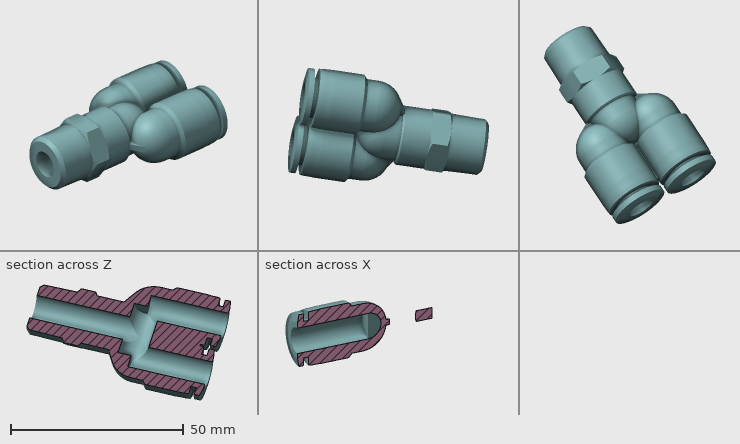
import cadquery as cq
import math

overall_length = 55.25
overall_width = 35.2

bore_radius = 4.0

thread_length = 11.05
thread_tip_radius = 8.2
thread_root_radius = 8.4
thread_chamfer = 1.05

hex_flats = 17.0
hex_height = 5.9
hex_chamfer_angle = 30.0

collar_radius = 8.7
collar_length = 8.0
collar_chamfer = 0.5
stem_radius = 7.6
stem_length = 5.25

leg_radius = 8.8
leg_offset = overall_width / 2 - leg_radius
shank_radius = stem_radius
shank_center_y = 33.85
shank_length = 3.6
shoulder_height = 1.0
sleeve_straight_length = 8.9
sleeve_taper_length = 3.0
sleeve_taper_radius = 8.7
sleeve_lip_length = 1.25
sleeve_lip_radius = 8.55
neck_length = 1.5
neck_radius = 5.9
ring_radius = 8.35
ring_face_radius = 5.75
ring_crown_height = 0.5

web_thickness = 1.95
web_angle = 30.0

hex_end_y = thread_length + hex_height
collar_end_y = hex_end_y + collar_length
stem_center_y = collar_end_y + stem_length
shoulder_y = shank_center_y + shank_length
sleeve_y = shoulder_y + shoulder_height
taper_y = sleeve_y + sleeve_straight_length
lip_y = taper_y + sleeve_taper_length
neck_y = lip_y + sleeve_lip_length
ring_y = neck_y + neck_length
channel_y = (stem_center_y + shank_center_y) / 2
crown_y = overall_length - ring_crown_height


def revolve_about_y(outline):
    """Close an outline in the XY plane and turn it about the Y axis."""
    return outline.close().revolve(360, (0, 0, 0), (0, 1, 0))


def cylinder_along_y(radius, start_y, end_y):
    rod = cq.Workplane("XZ").circle(radius).extrude(start_y - end_y)
    return rod.translate((0, start_y, 0))


def make_thread():
    return revolve_about_y(
        cq.Workplane("XY")
        .lineTo(thread_tip_radius - thread_chamfer, 0)
        .lineTo(thread_tip_radius, thread_chamfer)
        .lineTo(thread_root_radius, thread_length)
        .lineTo(0, thread_length)
    )


def make_hexagon():
    """Hexagonal prism whose corners are cut back by a cone at both ends."""
    flat_radius = hex_flats / 2
    corner_radius = flat_radius / math.cos(math.radians(30))
    corner_drop = (corner_radius - flat_radius) * math.tan(math.radians(hex_chamfer_angle))
    prism = cq.Workplane("XZ").polygon(6, 2 * corner_radius).extrude(-hex_height)
    envelope = revolve_about_y(
        cq.Workplane("XY")
        .lineTo(flat_radius, 0)
        .lineTo(corner_radius, corner_drop)
        .lineTo(corner_radius, hex_height - corner_drop)
        .lineTo(flat_radius, hex_height)
        .lineTo(0, hex_height)
    )
    return prism.intersect(envelope).translate((0, thread_length, 0))


def make_stem():
    """Collar with a chamfered rim, then a narrower rod with a spherical end."""
    diagonal = stem_radius * math.sqrt(0.5)
    return revolve_about_y(
        cq.Workplane("XY")
        .moveTo(0, hex_end_y)
        .lineTo(collar_radius, hex_end_y)
        .lineTo(collar_radius, collar_end_y)
        .lineTo(collar_radius - collar_chamfer, collar_end_y + collar_chamfer)
        .lineTo(stem_radius, collar_end_y + collar_chamfer)
        .lineTo(stem_radius, stem_center_y)
        .threePointArc((diagonal, stem_center_y + diagonal), (0, stem_center_y + stem_radius))
    )


def make_leg():
    """One leg on the Y axis, from its spherical end to the crowned release ring."""
    diagonal = shank_radius * math.sqrt(0.5)
    return revolve_about_y(
        cq.Workplane("XY")
        .moveTo(0, shank_center_y - shank_radius)
        .threePointArc((diagonal, shank_center_y - diagonal), (shank_radius, shank_center_y))
        .lineTo(shank_radius, shoulder_y)
        .lineTo(leg_radius, sleeve_y)
        .lineTo(leg_radius, taper_y)
        .lineTo(sleeve_taper_radius, lip_y)
        .lineTo(sleeve_lip_radius, neck_y)
        .lineTo(neck_radius, neck_y)
        .lineTo(neck_radius, ring_y)
        .lineTo(ring_radius, ring_y)
        .lineTo(ring_radius, crown_y)
        .lineTo(ring_face_radius, overall_length)
        .lineTo(0, overall_length)
    )


def make_web():
    """Plate between the legs; its sloping edges run from the collar tangent to the leg ends."""
    slope = math.radians(web_angle)
    tangent_x = leg_offset + shank_radius * math.sin(slope)
    tangent_y = shank_center_y - shank_radius * math.cos(slope)
    foot_y = tangent_y - (tangent_x - collar_radius) * math.tan(slope)
    outline = [
        (-collar_radius, foot_y),
        (collar_radius, foot_y),
        (tangent_x, tangent_y),
        (leg_offset, lip_y),
        (-leg_offset, lip_y),
        (-tangent_x, tangent_y),
    ]
    return cq.Workplane("XY").polyline(outline).close().extrude(web_thickness / 2, both=True)


def make_passages():
    """Stem bore, cross channel between the legs, and one port bore in each leg."""
    passages = cylinder_along_y(bore_radius, 0, channel_y)
    cross_channel = cq.Workplane("YZ").circle(bore_radius).extrude(leg_offset, both=True)
    passages = passages.union(cross_channel.translate((0, channel_y, 0)))
    for side in (-1, 1):
        port = cylinder_along_y(bore_radius, channel_y, overall_length)
        passages = passages.union(port.translate((side * leg_offset, 0, 0)))
    return passages


body = make_thread().union(make_hexagon()).union(make_stem()).union(make_web())
for side in (-1, 1):
    body = body.union(make_leg().translate((side * leg_offset, 0, 0)))

result = body.cut(make_passages())